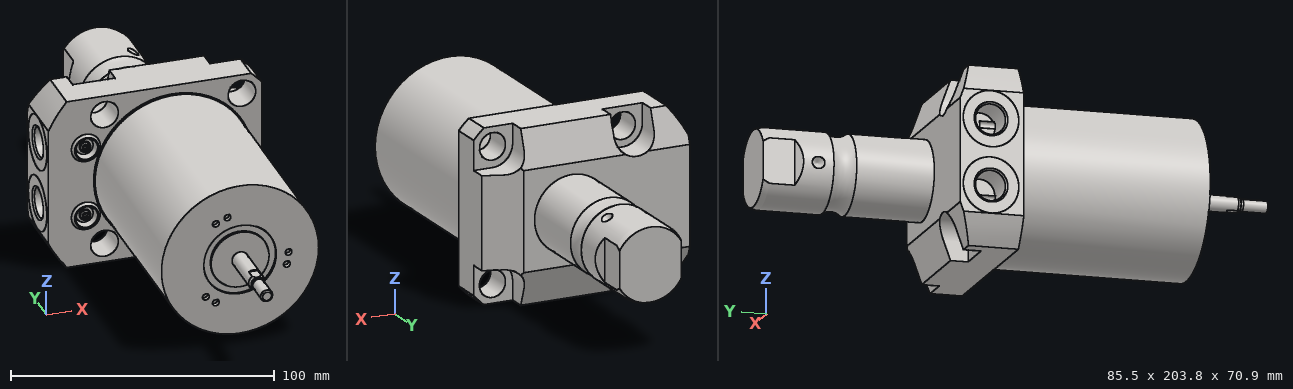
import cadquery as cq
import math


flange_thickness = 25.2
flange_left = -50.0
flange_right = 35.5
flange_height = 70.87
flange_half_height = flange_height / 2
left_corner_radius = 55.5
right_corner_radius = 47.2

bevel_angle = math.radians(20)
bevel_width = 15.0
bevel_drop = bevel_width * math.tan(bevel_angle)

bolt_offset = 27.5
bolt_hole_diameter = 11.0
bolt_seat_diameter = 17.0
bolt_seat_y = 12.8

port_z = 13.0
port_y = 13.0
port_diameter = 11.9
port_chamfer = 0.7
port_depth = 15.0
port_seat_diameter = 22.0
port_seat_depth = 0.1

barrel_diameter = 63.0
barrel_length = 79.5
barrel_end_y = -barrel_length
collar_diameter = 63.8
collar_height = 0.6

ring_groove_outer_radius = 14.5
ring_groove_inner_radius = 11.6
ring_groove_depth = 1.0

pin_hole_count = 3
pin_hole_circle_radius = 19.4
pin_hole_pair_angle = 15.0
pin_hole_diameter = 2.6
pin_hole_depth = 2.0

rod_radius = 15.85
rod_length = 67.05
rod_end_y = flange_thickness + rod_length
rod_chamfer_radial = 0.75
rod_chamfer_length = 2.5

rod_groove_top_y = rod_end_y - 27.3
rod_groove_width = 9.0
rod_groove_depth = 1.6

rod_flat_offset = 13.1
rod_flat_length = 12.5
rod_flat_runout = rod_radius - rod_flat_offset

dimple_count = 3
dimple_first_angle = 60.0
dimple_diameter = 5.0
dimple_depth = dimple_diameter / 2
dimple_y = rod_end_y - 21.2

tail_radius = 3.25
tail_length = 32.09
tail_shoulder = 20.9
tail_shoulder_chamfer_length = 1.2
tail_shoulder_chamfer_radial = 0.6
tail_neck_radius = 2.35
tail_neck_length = 1.0
tail_tip_radius = 2.4
tail_tip_chamfer = 0.6

tail_flat_offset = 2.7
tail_flat_start = 15.7

valve_x = -35.0
valve_z = 14.5
valve_radius = 5.8
valve_depth = 6.0
valve_projection = 1.0
valve_chamfer_radial = 1.0
valve_chamfer_length = valve_projection
valve_recess_radius = 4.4
valve_recess_floor_radius = 3.4
valve_recess_depth = 2.5
valve_stem_radius = 2.1
valve_stem_height = 1.5
valve_stem_chamfer = 0.6
valve_socket_sides = 6
valve_socket_width = 1.6
valve_socket_depth = 1.0
valve_passage_diameter = 2.7


def bore(x, z, diameter, start_y, end_y):
    """Cylinder parallel to Y, used as a hole cutter."""
    return cq.Workplane("XZ", origin=(x, start_y, z)).circle(diameter / 2).extrude(start_y - end_y)


def make_flange():
    """Plate with arc corners, three bevelled back edges, bolt holes and seats."""
    left_arc_x = -math.sqrt(left_corner_radius**2 - flange_half_height**2)
    left_arc_z = math.sqrt(left_corner_radius**2 - flange_left**2)
    right_arc_x = math.sqrt(right_corner_radius**2 - flange_half_height**2)
    right_arc_z = math.sqrt(right_corner_radius**2 - flange_right**2)
    plate = (
        cq.Workplane("XZ")
        .moveTo(left_arc_x, flange_half_height)
        .lineTo(right_arc_x, flange_half_height)
        .radiusArc((flange_right, right_arc_z), right_corner_radius)
        .lineTo(flange_right, -right_arc_z)
        .radiusArc((right_arc_x, -flange_half_height), right_corner_radius)
        .lineTo(left_arc_x, -flange_half_height)
        .radiusArc((flange_left, -left_arc_z), left_corner_radius)
        .lineTo(flange_left, left_arc_z)
        .radiusArc((left_arc_x, flange_half_height), left_corner_radius)
        .close()
        .extrude(-flange_thickness)
    )

    bevel_low_y = flange_thickness - bevel_drop
    side_profile = [
        (0, -flange_half_height),
        (bevel_low_y, -flange_half_height),
        (flange_thickness, bevel_width - flange_half_height),
        (flange_thickness, flange_half_height - bevel_width),
        (bevel_low_y, flange_half_height),
        (0, flange_half_height),
    ]
    end_profile = [
        (flange_left, 0),
        (flange_right, 0),
        (flange_right, bevel_low_y),
        (flange_right - bevel_width, flange_thickness),
        (flange_left, flange_thickness),
    ]
    side_limits = (
        cq.Workplane("YZ", origin=(flange_left, 0, 0))
        .polyline(side_profile)
        .close()
        .extrude(flange_right - flange_left)
    )
    end_limits = cq.Workplane("XY").polyline(end_profile).close().extrude(flange_half_height, both=True)
    plate = plate.intersect(side_limits).intersect(end_limits)

    seat_height = flange_thickness - bolt_seat_y
    seat_middle_y = bolt_seat_y + seat_height / 2
    for z in (-bolt_offset, bolt_offset):
        for x in (-bolt_offset, bolt_offset):
            plate = plate.cut(bore(x, z, bolt_hole_diameter, 0, flange_thickness))
            plate = plate.cut(bore(x, z, bolt_seat_diameter, bolt_seat_y, flange_thickness))
            outward = math.copysign(bolt_seat_diameter, z)
            side_runout = cq.Workplane("XY").box(bolt_seat_diameter, seat_height, bolt_seat_diameter)
            plate = plate.cut(side_runout.translate((x, seat_middle_y, z + outward / 2)))
        end_runout = cq.Workplane("XY").box(bolt_seat_diameter, seat_height, bolt_seat_diameter)
        plate = plate.cut(end_runout.translate((bolt_offset + bolt_seat_diameter / 2, seat_middle_y, z)))
    return plate


def make_barrel_and_shafts():
    """Turned shape of tail shaft, barrel and piston rod, revolved about Y."""
    shoulder_y = barrel_end_y - tail_shoulder
    neck_end_y = shoulder_y - tail_neck_length
    tip_y = barrel_end_y - tail_length
    groove_bottom_y = rod_groove_top_y - rod_groove_width
    groove_middle = (rod_radius - rod_groove_depth, rod_groove_top_y - rod_groove_width / 2)
    return (
        cq.Workplane("XY")
        .moveTo(0, tip_y)
        .lineTo(tail_tip_radius - tail_tip_chamfer, tip_y)
        .lineTo(tail_tip_radius, tip_y + tail_tip_chamfer)
        .lineTo(tail_tip_radius, neck_end_y)
        .lineTo(tail_neck_radius, neck_end_y)
        .lineTo(tail_neck_radius, shoulder_y)
        .lineTo(tail_radius - tail_shoulder_chamfer_radial, shoulder_y)
        .lineTo(tail_radius, shoulder_y + tail_shoulder_chamfer_length)
        .lineTo(tail_radius, barrel_end_y)
        .lineTo(barrel_diameter / 2, barrel_end_y)
        .lineTo(barrel_diameter / 2, -collar_height)
        .lineTo(collar_diameter / 2, -collar_height)
        .lineTo(collar_diameter / 2, 0)
        .lineTo(rod_radius, 0)
        .lineTo(rod_radius, groove_bottom_y)
        .threePointArc(groove_middle, (rod_radius, rod_groove_top_y))
        .lineTo(rod_radius, rod_end_y - rod_chamfer_length)
        .lineTo(rod_radius - rod_chamfer_radial, rod_end_y)
        .lineTo(0, rod_end_y)
        .close()
        .revolve(360, (0, 0, 0), (0, 1, 0))
    )


def cut_rod_flats(body):
    """Two wrench flats at the rod end, each with a 45 degree run-out."""
    flat_end_y = rod_end_y - rod_flat_length
    for side in (-1, 1):
        profile = [
            (side * rod_flat_offset, rod_end_y),
            (side * rod_flat_offset, flat_end_y),
            (side * rod_radius, flat_end_y - rod_flat_runout),
            (side * rod_radius, rod_end_y),
        ]
        body = body.cut(cq.Workplane("XY").polyline(profile).close().extrude(rod_radius, both=True))
    return body


def cut_rod_dimples(body):
    """Conical dimples spaced evenly round the rod."""
    for index in range(dimple_count):
        angle = math.radians(dimple_first_angle + index * 360 / dimple_count)
        outward = cq.Vector(math.cos(angle), 0, math.sin(angle))
        start = outward * rod_radius + cq.Vector(0, dimple_y, 0)
        body = body.cut(
            cq.Workplane(cq.Solid.makeCone(dimple_diameter / 2, 0, dimple_depth, start, outward * -1))
        )
    return body


def cut_barrel_face(body):
    """Ring groove and pairs of small holes in the front end of the barrel."""
    groove = (
        cq.Workplane("XZ", origin=(0, barrel_end_y + ring_groove_depth, 0))
        .circle(ring_groove_outer_radius)
        .circle(ring_groove_inner_radius)
        .extrude(ring_groove_depth)
    )
    body = body.cut(groove)
    for index in range(pin_hole_count):
        for turn in (0, -pin_hole_pair_angle):
            angle = math.radians(index * 360 / pin_hole_count + turn)
            x = pin_hole_circle_radius * math.cos(angle)
            z = pin_hole_circle_radius * math.sin(angle)
            body = body.cut(bore(x, z, pin_hole_diameter, barrel_end_y, barrel_end_y + pin_hole_depth))
    return body


def cut_tail_flats(body):
    """Two flats on the tail shaft, facing up and down and ending at its shoulder."""
    flat_length = tail_shoulder - tail_flat_start
    flat_middle_y = barrel_end_y - tail_flat_start - flat_length / 2
    for side in (-1, 1):
        cutter = cq.Workplane("XY").box(2 * tail_radius, flat_length, tail_radius)
        body = body.cut(cutter.translate((0, flat_middle_y, side * (tail_flat_offset + tail_radius / 2))))
    return body


def cut_ports(body):
    """Two ports from the left side, each with a shallow seat, met by a valve passage."""
    for side in (-1, 1):
        port = cq.Workplane("YZ", origin=(flange_left, port_y, side * port_z))
        body = body.cut(port.circle(port_diameter / 2).extrude(port_depth))
        body = body.cut(port.circle(port_seat_diameter / 2).extrude(port_seat_depth))
        mouth_center = cq.Vector(flange_left + port_seat_depth, port_y, side * port_z)
        mouth_radius = port_diameter / 2 + port_chamfer
        mouth = cq.Solid.makeCone(
            mouth_radius, port_diameter / 2, port_chamfer, mouth_center, cq.Vector(1, 0, 0)
        )
        body = body.cut(cq.Workplane(mouth))
        body = body.cut(bore(valve_x, side * valve_z, 2 * valve_radius, 0, valve_depth))
        body = body.cut(bore(valve_x, side * valve_z, valve_passage_diameter, valve_depth, port_y))
    return body


def make_housing():
    body = make_flange().union(make_barrel_and_shafts())
    body = cut_rod_flats(body)
    body = cut_rod_dimples(body)
    body = cut_barrel_face(body)
    body = cut_tail_flats(body)
    return cut_ports(body)


def make_valve(side):
    """Flow-control valve: a chamfered plug with a tapered recess and a stem with a hex socket."""
    recess_floor_y = valve_recess_depth - valve_projection
    stem_end_y = recess_floor_y - valve_stem_height
    plug = (
        cq.Workplane("XY")
        .moveTo(0, valve_depth)
        .lineTo(valve_radius, valve_depth)
        .lineTo(valve_radius, valve_chamfer_length - valve_projection)
        .lineTo(valve_radius - valve_chamfer_radial, -valve_projection)
        .lineTo(valve_recess_radius, -valve_projection)
        .lineTo(valve_recess_floor_radius, recess_floor_y)
        .lineTo(valve_stem_radius, recess_floor_y)
        .lineTo(valve_stem_radius, stem_end_y + valve_stem_chamfer)
        .lineTo(valve_stem_radius - valve_stem_chamfer, stem_end_y)
        .lineTo(0, stem_end_y)
        .close()
        .revolve(360, (0, 0, 0), (0, 1, 0))
    )
    socket = (
        cq.Workplane("XZ", origin=(0, stem_end_y, 0))
        .polygon(valve_socket_sides, valve_socket_width, circumscribed=True)
        .extrude(-valve_socket_depth)
    )
    return plug.cut(socket).translate((valve_x, 0, side * valve_z))


housing = make_housing()
valves = [make_valve(side) for side in (-1, 1)]

result = cq.Compound.makeCompound([housing.val(), *[valve.val() for valve in valves]])